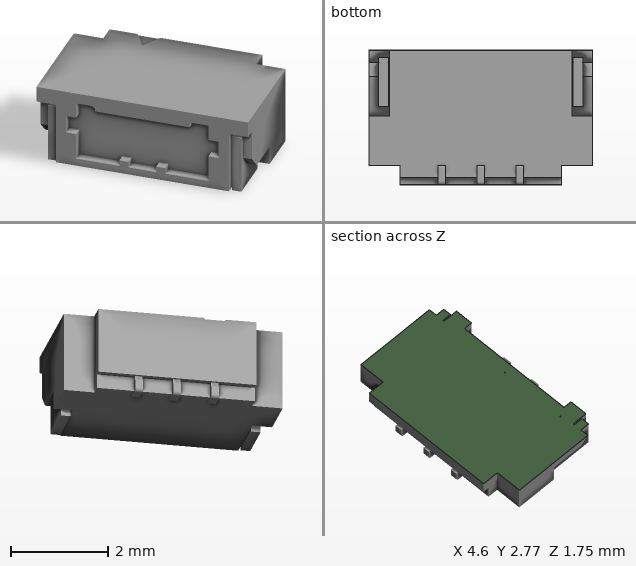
import cadquery as cq
import math

WIDTH = 4.60
DEPTH = 2.77
STANDOFF = 0.05
BODY_HEIGHT = 1.70
TOP_Z = STANDOFF + BODY_HEIGHT

REAR_WIDTH = 3.32
REAR_LENGTH = 0.40
SHOULDER_Y = DEPTH - REAR_LENGTH

CAVITY_DEPTH = 0.20
CAVITY_HALF_WIDTH = 1.435
CAVITY_FLOOR_Z = TOP_Z - 1.535
CAVITY_CEILING_Z = TOP_Z - 0.345
KEYWAY_TOP_Z = TOP_Z - 0.23
KEYWAY_INNER_X = 1.03
KEYWAY_CHAMFER = 0.05
WING_HALF_WIDTH = 1.66
WING_TOP_Z = TOP_Z - 0.57
WING_BOTTOM_Z = TOP_Z - 0.955

RIB_WIDTH = 0.20
RIB_HEIGHT = 0.13
RIB_SPACING = 0.80

POCKET_WIDTH = 0.42
POCKET_TOP_Z = TOP_Z - 0.345
POCKET_COLUMN_Y = 0.25
POCKET_REAR_Y = 1.355
POCKET_LOW_Z = TOP_Z - 1.295
POCKET_SLOPE = 0.295

TAB_INSET = 0.20
TAB_THICKNESS = 0.20
TAB_FRONT_Y = 0.15
TAB_REAR_Y = 1.16
TAB_TOP_Z = TOP_Z - 0.49

CONTACT_COUNT = 3
CONTACT_PITCH = 0.80
CONTACT_WIDTH = 0.16
TAIL_TOP_Z = TOP_Z - 1.505
TAIL_SETBACK = 0.06
TAIL_REAR_RADIUS = 0.07
TAIL_FRONT_RADIUS = 0.05

UNDERCUT_DEPTH = 0.15
UNDERCUT_TOP_Z = TOP_Z - 1.40

MARK_WIDTH = 0.50
MARK_LENGTH = MARK_WIDTH * math.sqrt(3) / 2
MARK_DEPTH = 0.03


def box(x_min, x_max, y_min, y_max, z_min, z_max):
    """Box given by its limits along each axis."""
    size = (x_max - x_min, y_max - y_min, z_max - z_min)
    return cq.Workplane("XY").box(*size, centered=False).translate((x_min, y_min, z_min))


def side_prism(points, x_min, x_max):
    """Prism with a (Y, Z) outline that runs from x_min to x_max."""
    outline = cq.Workplane("YZ", origin=(x_min, 0, 0)).polyline(points).close()
    return outline.extrude(x_max - x_min)


def both_sides(left):
    """Left-hand shape joined with its mirror image on the right."""
    return left.union(left.mirror("YZ"))


def make_housing():
    main = box(-WIDTH / 2, WIDTH / 2, 0, SHOULDER_Y, STANDOFF, TOP_Z)
    rear = box(-REAR_WIDTH / 2, REAR_WIDTH / 2, SHOULDER_Y, DEPTH, STANDOFF, TOP_Z)
    undercut = box(
        -REAR_WIDTH / 2, REAR_WIDTH / 2, DEPTH - UNDERCUT_DEPTH, DEPTH, STANDOFF, UNDERCUT_TOP_Z
    )
    return main.union(rear).cut(undercut)


def make_cavity():
    main = box(
        -CAVITY_HALF_WIDTH, CAVITY_HALF_WIDTH, 0, CAVITY_DEPTH, CAVITY_FLOOR_Z, CAVITY_CEILING_Z
    )
    wings = box(-WING_HALF_WIDTH, WING_HALF_WIDTH, 0, CAVITY_DEPTH, WING_BOTTOM_Z, WING_TOP_Z)
    keyway = (
        box(-CAVITY_HALF_WIDTH, -KEYWAY_INNER_X, 0, CAVITY_DEPTH, WING_TOP_Z, KEYWAY_TOP_Z)
        .edges("|Y and >X and >Z")
        .chamfer(KEYWAY_CHAMFER)
    )
    cavity = main.union(wings).union(both_sides(keyway))
    for rib_x in (-RIB_SPACING / 2, RIB_SPACING / 2):
        rib = box(
            rib_x - RIB_WIDTH / 2,
            rib_x + RIB_WIDTH / 2,
            0,
            CAVITY_DEPTH,
            CAVITY_FLOOR_Z,
            CAVITY_FLOOR_Z + RIB_HEIGHT,
        )
        cavity = cavity.cut(rib)
    return cavity


def make_pockets():
    outline = [
        (0, STANDOFF),
        (0, POCKET_TOP_Z),
        (POCKET_COLUMN_Y, POCKET_TOP_Z),
        (POCKET_COLUMN_Y, POCKET_LOW_Z + POCKET_SLOPE),
        (POCKET_COLUMN_Y + POCKET_SLOPE, POCKET_LOW_Z),
        (POCKET_REAR_Y, POCKET_LOW_Z),
        (POCKET_REAR_Y, STANDOFF),
    ]
    return both_sides(side_prism(outline, -WIDTH / 2, -WIDTH / 2 + POCKET_WIDTH))


def make_tabs():
    outline = [
        (TAB_FRONT_Y, 0),
        (TAB_FRONT_Y, TAB_TOP_Z),
        (POCKET_COLUMN_Y, TAB_TOP_Z),
        (POCKET_COLUMN_Y, POCKET_LOW_Z + POCKET_SLOPE),
        (POCKET_COLUMN_Y + POCKET_SLOPE, POCKET_LOW_Z),
        (TAB_REAR_Y, POCKET_LOW_Z),
        (TAB_REAR_Y, 0),
    ]
    outer_x = -WIDTH / 2 + TAB_INSET
    return both_sides(side_prism(outline, outer_x, outer_x + TAB_THICKNESS))


def make_contact(center_x):
    x_min = center_x - CONTACT_WIDTH / 2
    x_max = center_x + CONTACT_WIDTH / 2
    foot = (
        box(x_min, x_max, SHOULDER_Y, DEPTH, 0, TAIL_TOP_Z)
        .faces(">Y")
        .edges("<Z")
        .fillet(TAIL_REAR_RADIUS)
        .faces("<Y")
        .edges("<Z")
        .fillet(TAIL_FRONT_RADIUS)
    )
    riser = box(x_min, x_max, SHOULDER_Y, DEPTH - TAIL_SETBACK, STANDOFF, UNDERCUT_TOP_Z)
    return foot.union(riser)


def make_mark(center_x):
    points = [
        (center_x - MARK_WIDTH / 2, DEPTH),
        (center_x + MARK_WIDTH / 2, DEPTH),
        (center_x, DEPTH - MARK_LENGTH),
    ]
    return cq.Workplane("XY", origin=(0, 0, TOP_Z)).polyline(points).close().extrude(-MARK_DEPTH)


first_contact_x = -CONTACT_PITCH * (CONTACT_COUNT - 1) / 2

result = make_housing().cut(make_cavity()).cut(make_pockets()).cut(make_mark(first_contact_x))
result = result.union(make_tabs())
for index in range(CONTACT_COUNT):
    result = result.union(make_contact(first_contact_x + index * CONTACT_PITCH))